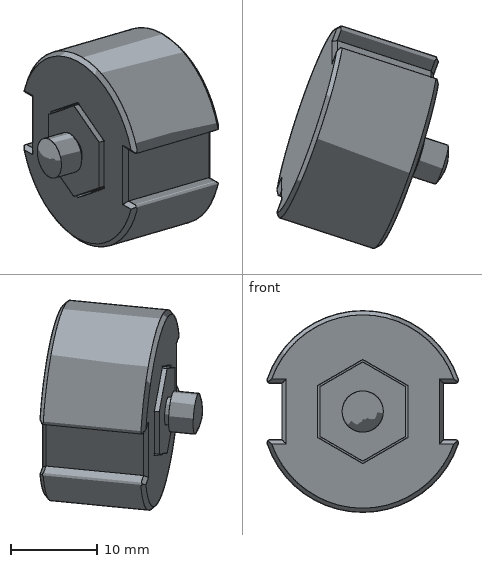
import cadquery as cq
import math

disk_radius = 11.7
disk_length = 12.5
end_chamfer = 0.5

slot_floor_x = 9.4
slot_half_height = 3.25
cutter_depth = disk_radius
slot_lip_radius = 0.4

hex_flats = 9.98
hex_clearance = 0.23
pocket_depth = 2.35
hex_protrusion = 0.55

neck_radius = 1.65
neck_length = 0.6
head_radius = 2.4
head_length = 2.9
crown_radius = 1.69
shoulder_length = 0.3
dome_height = 0.28


def hex_prism(flats, front_y, back_y):
    """Hexagonal prism along Y, flats facing +X and -X."""
    corner_radius = flats / 2 / math.cos(math.pi / 6)
    corners = []
    for i in range(6):
        angle = math.radians(90 + 60 * i)
        corners.append((corner_radius * math.cos(angle), corner_radius * math.sin(angle)))
    return (
        cq.Workplane("XZ", origin=(0, back_y, 0))
        .polyline(corners)
        .close()
        .extrude(back_y - front_y)
    )


def slot_cutter(side):
    """Slot on one side of the disk: side is +1 for +X, -1 for -X."""
    center_x = side * (slot_floor_x + cutter_depth / 2)
    slot = cq.Workplane("XY").box(cutter_depth, disk_length, 2 * slot_half_height)
    return slot.translate((center_x, disk_length / 2, 0))


def slot_flare(side, end_y, inward):
    """Tapered cutter that chamfers a slot where it meets an end face."""
    center_x = side * (slot_floor_x + cutter_depth / 2)
    wide = (cutter_depth + 2 * end_chamfer, 2 * (slot_half_height + end_chamfer))
    narrow = (cutter_depth, 2 * slot_half_height)
    return (
        cq.Workplane("XZ", origin=(center_x, end_y, 0))
        .rect(*wide)
        .workplane(offset=-inward * end_chamfer)
        .rect(*narrow)
        .loft(ruled=True)
    )


def make_housing():
    disk = cq.Workplane("XZ").circle(disk_radius).extrude(-disk_length)
    sides = (1, -1)

    slotted = disk
    for side in sides:
        slotted = slotted.cut(slot_cutter(side))
    rim_x = math.sqrt(disk_radius**2 - slot_half_height**2)
    lip_x = (slot_floor_x + rim_x) / 2
    for side in sides:
        lip_region = cq.selectors.BoxSelector(
            (side * lip_x, 0, -disk_radius),
            (side * disk_radius, disk_length, disk_radius),
        )
        slotted = slotted.edges("|Y").edges(lip_region).fillet(slot_lip_radius)

    housing = slotted.intersect(disk.faces("<Y or >Y").chamfer(end_chamfer))
    for side in sides:
        housing = housing.cut(slot_flare(side, 0, 1))
        housing = housing.cut(slot_flare(side, disk_length, -1))

    return housing.cut(hex_prism(hex_flats + 2 * hex_clearance, 0, pocket_depth))


def make_stud():
    """Hexagon, neck and domed head as one solid."""
    neck_back = -hex_protrusion
    head_back = neck_back - neck_length
    head_front = head_back - head_length
    crown_y = head_front - shoulder_length
    apex_y = crown_y - dome_height

    dome_radius = (crown_radius**2 + dome_height**2) / (2 * dome_height)
    half_angle = math.asin(crown_radius / dome_radius) / 2
    dome_middle = (
        dome_radius * math.sin(half_angle),
        apex_y + dome_radius * (1 - math.cos(half_angle)),
    )

    pin = (
        cq.Workplane("XY")
        .moveTo(0, neck_back)
        .lineTo(neck_radius, neck_back)
        .lineTo(neck_radius, head_back)
        .lineTo(head_radius, head_back)
        .lineTo(head_radius, head_front)
        .lineTo(crown_radius, crown_y)
        .threePointArc(dome_middle, (0, apex_y))
        .close()
        .revolve(360, (0, 0, 0), (0, 1, 0))
    )
    return hex_prism(hex_flats, neck_back, pocket_depth).union(pin)


housing = make_housing()
stud = make_stud()
result = cq.Compound.makeCompound([housing.val(), stud.val()])